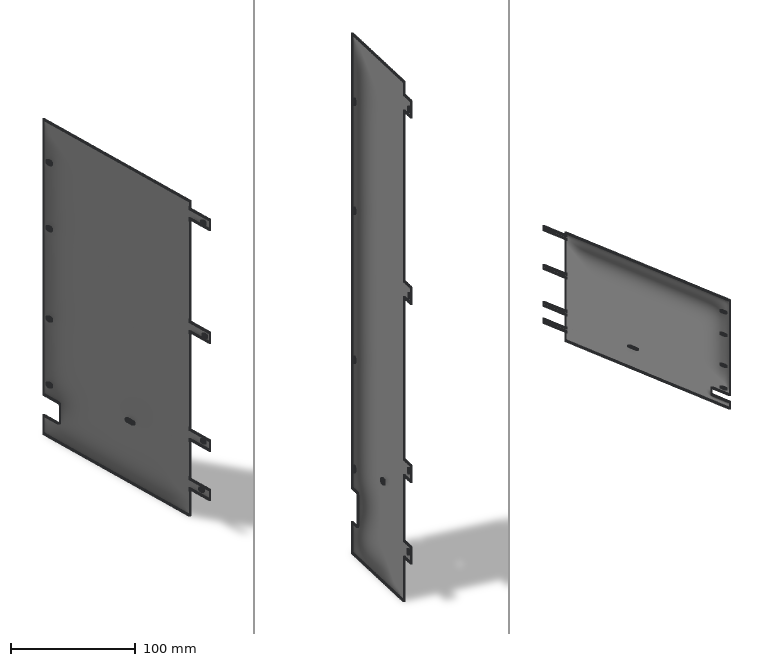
import cadquery as cq

height = 435.0
overall_width = 162.3
thickness = 0.5
body_width = 143.0
corner_radius = 1.5

tab_height = 13.5
tabs = [
    (417.5, 155.7, 416.0),
    (261.5, 157.0, 260.0),
    (112.2, 155.7, 113.0),
    (44.0, 154.0, 45.0),
]
tab_hole_diameter = 4.5

relief_depth = 1.0
relief_height = 2.0

edge_hole_diameter = 5.2
edge_hole_x = 5.5
edge_hole_spacing = 91.5
edge_pair_bottoms = [71.8, 288.0]

slot_x = 84.5
slot_z = 84.0
slot_length = 8.3
slot_width = 4.0

notch_corner_radius = 2.0
notch_depth = 16.0
notch_bottom = 25.5
notch_height = 28.5


def plate(left, bottom, width, plate_height):
    """Rectangular piece of sheet, placed by its lower left corner."""
    return cq.Workplane("XY").box(width, thickness, plate_height, centered=False).translate((left, 0, bottom))


def hole_cutter(x, z, diameter):
    """Cylinder through the sheet."""
    return (
        cq.Workplane("XZ", origin=(x, 0, z))
        .circle(diameter / 2)
        .extrude(thickness, both=True)
    )


body = plate(0, 0, body_width, height).edges("|Y and <Z").fillet(corner_radius)

notch = plate(0, notch_bottom, notch_depth, notch_height).edges("|Y and >X").fillet(notch_corner_radius)
result = body.cut(notch)

for tab_z, hole_x, hole_z in tabs:
    tab_bottom = tab_z - tab_height / 2
    tab_top = tab_z + tab_height / 2
    relief_left = body_width - relief_depth
    for relief_bottom in (tab_bottom - relief_height, tab_top):
        result = result.cut(plate(relief_left, relief_bottom, relief_depth, relief_height))
    tab = plate(relief_left, tab_bottom, overall_width - relief_left, tab_height)
    result = result.union(tab).cut(hole_cutter(hole_x, hole_z, tab_hole_diameter))

for pair_bottom in edge_pair_bottoms:
    for hole_z in (pair_bottom, pair_bottom + edge_hole_spacing):
        result = result.cut(hole_cutter(edge_hole_x, hole_z, edge_hole_diameter))

slot = (
    cq.Workplane("XZ", origin=(slot_x, 0, slot_z))
    .slot2D(slot_length, slot_width)
    .extrude(thickness, both=True)
)
result = result.cut(slot)